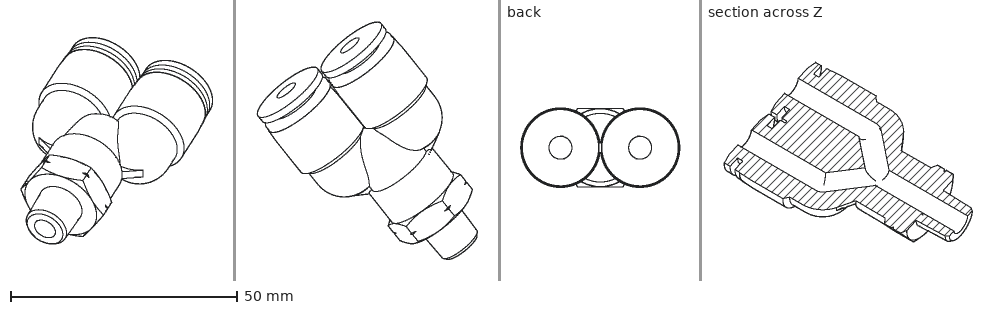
import cadquery as cq
import math

overall_length = 52.7
branch_offset = 8.8

tip_radius = 4.3
tip_chamfer_length = 0.75
thread_tip_radius = 4.9
thread_root_radius = 5.15

nut_start = 8.5
nut_end = 14.5
nut_flats = 17.4
nut_face_radius = 8.65
nut_chamfer_angle = 30.0
nut_corner_radius = nut_flats / math.sqrt(3)
notch_depth = 0.5
notch_half_width = 0.2

sleeve_radius = 8.7
sleeve_end_radius = 8.6
sleeve_end = 22.45
sleeve_round = 0.5
dome_radius = 7.6
stem_dome_center = 28.05

branch_dome_center = 31.35
collar_start = 34.9
collar_radius = 8.8
collar_chamfer_end = 35.9
collar_taper_start = 44.9
collar_taper_end = 47.85
collar_taper_radius = 8.65
collar_lip_radius = 8.55
collar_lip_end = 49.0
collar_round = 0.2
collar_end = collar_lip_end + collar_round
release_neck_radius = 5.6
release_flange_start = 50.55
release_flange_edge = 52.15
release_flange_radius = 8.45
release_face_radius = 6.0

rib_thickness = 2.1
rib_angle = 30.0
bore_radius = 2.55
bore_split = branch_dome_center - branch_offset


def revolve_about_y(profile, axis_x=0.0):
    """Turn a closed (radius, y) profile about a Y-parallel axis at axis_x."""
    solid = profile.close().revolve(360, (0, 0, 0), (0, 1, 0))
    return solid.translate((axis_x, 0, 0))


def bore_segment(start, direction, length):
    """Cylinder of the bore size from start along direction."""
    cylinder = cq.Solid.makeCylinder(bore_radius, length, cq.Vector(*start), cq.Vector(*direction))
    return cq.Workplane(cylinder)


def make_stem():
    """Threaded end, sleeve and domed middle of the stem, turned in one profile."""
    profile = (
        cq.Workplane("XY")
        .lineTo(tip_radius, 0)
        .lineTo(thread_tip_radius, tip_chamfer_length)
        .lineTo(thread_root_radius, nut_start)
        .lineTo(sleeve_radius, nut_start)
        .lineTo(sleeve_end_radius, sleeve_end)
        .radiusArc((sleeve_end_radius - sleeve_round, sleeve_end + sleeve_round), -sleeve_round)
        .lineTo(dome_radius, sleeve_end + sleeve_round)
        .lineTo(dome_radius, stem_dome_center)
        .radiusArc((0, stem_dome_center + dome_radius), -dome_radius)
    )
    return revolve_about_y(profile)


def make_nut():
    """Hexagon with flats on +Z and -Z, chamfered ends and a small V notch across each corner."""
    hexagon = (
        cq.Workplane("XZ", origin=(0, nut_start, 0))
        .polygon(6, 2 * nut_corner_radius)
        .extrude(-(nut_end - nut_start))
    )
    chamfer_length = (nut_corner_radius - nut_face_radius) * math.tan(math.radians(nut_chamfer_angle))
    nut_middle = (nut_start + nut_end) / 2
    envelope = (
        cq.Workplane("XY")
        .moveTo(0, nut_start)
        .lineTo(nut_face_radius, nut_start)
        .lineTo(nut_corner_radius, nut_start + chamfer_length)
        .lineTo(nut_corner_radius, nut_middle - notch_half_width)
        .lineTo(nut_corner_radius - notch_depth, nut_middle)
        .lineTo(nut_corner_radius, nut_middle + notch_half_width)
        .lineTo(nut_corner_radius, nut_end - chamfer_length)
        .lineTo(nut_face_radius, nut_end)
        .lineTo(0, nut_end)
    )
    return hexagon.intersect(revolve_about_y(envelope))


def make_branch(side):
    """Domed branch with its collar and the release ring of the tube connection."""
    profile = (
        cq.Workplane("XY")
        .moveTo(0, branch_dome_center - dome_radius)
        .radiusArc((dome_radius, branch_dome_center), -dome_radius)
        .lineTo(dome_radius, collar_start)
        .lineTo(collar_radius, collar_chamfer_end)
        .lineTo(collar_radius, collar_taper_start)
        .lineTo(collar_taper_radius, collar_taper_end)
        .lineTo(collar_lip_radius, collar_taper_end)
        .lineTo(collar_lip_radius, collar_lip_end)
        .radiusArc((collar_lip_radius - collar_round, collar_end), -collar_round)
        .lineTo(release_neck_radius, collar_end)
        .lineTo(release_neck_radius, release_flange_start)
        .lineTo(release_flange_radius, release_flange_start)
        .lineTo(release_flange_radius, release_flange_edge)
        .lineTo(release_face_radius, overall_length)
        .lineTo(0, overall_length)
    )
    return revolve_about_y(profile, side * branch_offset)


def make_ribs():
    """Flat gusset from the sleeve to the branch domes, and the web between the collars."""
    angle = math.radians(rib_angle)
    tangent_x = branch_offset + dome_radius * math.sin(angle)
    tangent_y = branch_dome_center - dome_radius * math.cos(angle)
    foot_x = tangent_x - (tangent_y - sleeve_end) / math.tan(angle)
    outline = [
        (-foot_x, sleeve_end),
        (foot_x, sleeve_end),
        (tangent_x, tangent_y),
        (branch_offset, branch_dome_center),
        (branch_offset, collar_taper_end),
        (-branch_offset, collar_taper_end),
        (-branch_offset, branch_dome_center),
        (-tangent_x, tangent_y),
    ]
    return cq.Workplane("XY").polyline(outline).close().extrude(rib_thickness / 2, both=True)


def make_bore():
    """Stem bore that splits into two slanted bores, each turning along its branch to the end face."""
    bore = bore_segment((0, 0, 0), (0, 1, 0), bore_split)
    for side in (-1, 1):
        elbow = (side * branch_offset, branch_dome_center, 0)
        slant_length = math.hypot(branch_offset, branch_offset)
        slant = bore_segment((0, bore_split, 0), (side * branch_offset, branch_offset, 0), slant_length)
        outlet = bore_segment(elbow, (0, 1, 0), overall_length - branch_dome_center)
        corner = cq.Workplane("XY").sphere(bore_radius).translate(elbow)
        bore = bore.union(slant).union(corner).union(outlet)
    return bore


body = make_stem().union(make_nut()).union(make_ribs())
for side in (-1, 1):
    body = body.union(make_branch(side))
result = body.cut(make_bore())